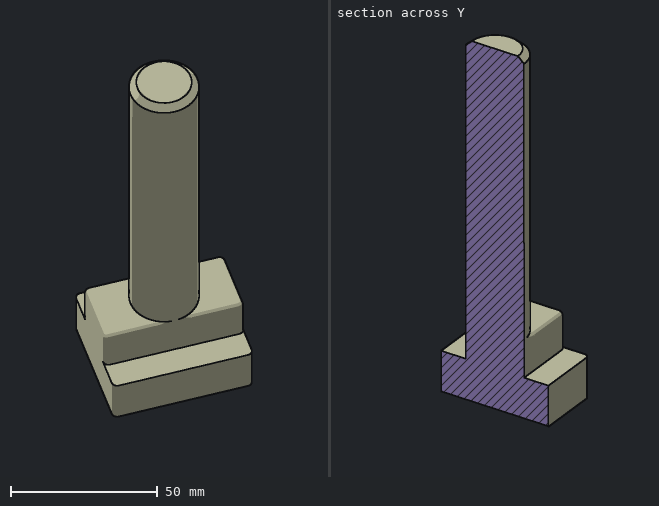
import cadquery as cq

total_height = 141.0
head_width = 44.0
head_length = 50.0
head_height = 16.1
shank_diameter = 24.0
neck_side_clearance = 0.04
neck_width = shank_diameter + 2 * neck_side_clearance
neck_top = 30.9
edge_radius = 2.0
tip_chamfer_height = 2.3
tip_chamfer_inset = 2.5


def make_head():
    """Flat T-slot head with rounded vertical corners."""
    head = cq.Workplane("XY").box(head_width, head_length, head_height, centered=(True, True, False))
    return head.edges("|Z").fillet(edge_radius)


def make_neck():
    """Square-edged guide block above the head, very slightly wider than the shank."""
    block_height = neck_top - head_height
    return (
        cq.Workplane("XY")
        .workplane(offset=head_height)
        .box(neck_width, head_length, block_height, centered=(True, True, False))
    )


def make_shank():
    """Round shank rising from the neck, with a chamfered tip."""
    shank_radius = shank_diameter / 2
    return (
        cq.Workplane("XZ")
        .moveTo(0, neck_top)
        .lineTo(shank_radius, neck_top)
        .lineTo(shank_radius, total_height - tip_chamfer_height)
        .lineTo(shank_radius - tip_chamfer_inset, total_height)
        .lineTo(0, total_height)
        .close()
        .revolve(360, (0, 0, 0), (0, 1, 0))
    )


def make_neck_and_shank():
    """Join neck and shank, then round the neck so its top rounding fades out where it meets the shank."""
    body = make_neck().union(make_shank())
    neck_zone = cq.selectors.BoxSelector(
        (-head_width, -head_length, head_height + edge_radius),
        (head_width, head_length, neck_top + edge_radius),
    )
    corners_and_rim = body.edges(neck_zone).edges("%LINE")
    return corners_and_rim.fillet(edge_radius)


result = make_head().union(make_neck_and_shank())